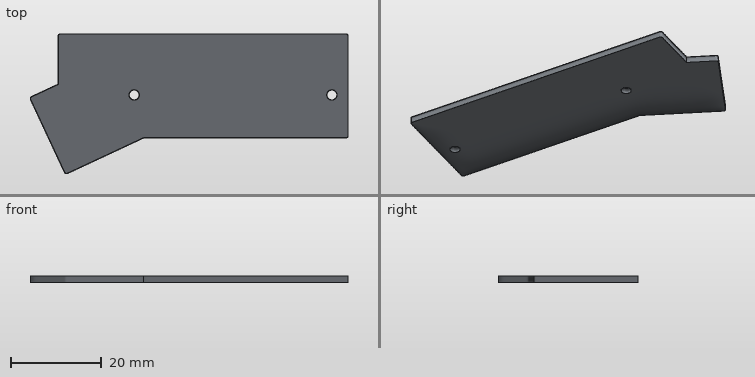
import cadquery as cq
import math

thickness = 1.5
body_length = 64.1
body_width = 23.0
bottom_edge_length = 45.2
arm_angle = math.radians(25)
arm_length = 19.08
arm_width = 18.75
corner_radius = 0.5

hole_diameter = 2.2
hole_height = 9.5
hole_end_distance = 3.6
hole_spacing = 43.7

right_x = bottom_edge_length
left_x = right_x - body_length

arm_bottom = (-arm_length * math.cos(arm_angle), -arm_length * math.sin(arm_angle))
arm_tip = (
    arm_bottom[0] - arm_width * math.sin(arm_angle),
    arm_bottom[1] + arm_width * math.cos(arm_angle),
)
notch = (left_x, arm_tip[1] + (left_x - arm_tip[0]) * math.tan(arm_angle))

rounded_corners = [
    arm_bottom,
    arm_tip,
    (left_x, body_width),
    (right_x, body_width),
    (right_x, 0),
]


def make_plate():
    """Flat bent plate with sharp corners."""
    outline = [
        (0, 0),
        arm_bottom,
        arm_tip,
        notch,
        (left_x, body_width),
        (right_x, body_width),
        (right_x, 0),
    ]
    return cq.Workplane("XY").polyline(outline).close().extrude(thickness)


def round_corners(plate):
    """Round every outward corner; the bend and the notch stay sharp."""
    for x, y in rounded_corners:
        corner_edge = cq.selectors.NearestToPointSelector((x, y, thickness / 2))
        plate = plate.edges("|Z").edges(corner_edge).fillet(corner_radius)
    return plate


def drill_holes(plate):
    """Two through holes in line along the body."""
    right_hole_x = right_x - hole_end_distance
    centres = [(right_hole_x - hole_spacing, hole_height), (right_hole_x, hole_height)]
    holes = (
        cq.Workplane("XY")
        .pushPoints(centres)
        .circle(hole_diameter / 2)
        .extrude(thickness)
    )
    return plate.cut(holes)


result = drill_holes(round_corners(make_plate()))